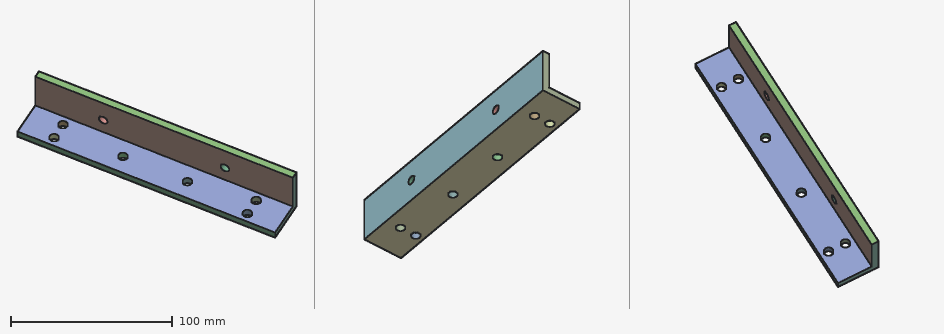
import cadquery as cq

length = 180.0
height = 32.39
depth = 29.0
thickness = 5.0
hole_diameter = 6.0
wall_hole_spacing = 85.0
wall_hole_drop = 16.0

flange_width = depth - thickness
flange_row_offset = flange_width / 4

flange_hole_pitch = length / 4
inner_hole_x = flange_hole_pitch / 2
outer_hole_x = inner_hole_x + flange_hole_pitch


def make_angle():
    """L-shaped bar centred on X, front edge at Y = 0 and underside at Z = 0."""
    flange = cq.Workplane("XY").box(length, depth, thickness, centered=(True, False, False))
    wall = (
        cq.Workplane("XY")
        .box(length, thickness, height, centered=(True, False, False))
        .translate((0, flange_width, 0))
    )
    return flange.union(wall)


def make_flange_holes():
    """Vertical drills: one pair on the flange midline and a pair across it near each end."""
    middle_y = flange_width / 2
    points = []
    for side in (-1, 1):
        points.append((side * inner_hole_x, middle_y))
        for row in (-1, 1):
            points.append((side * outer_hole_x, middle_y + row * flange_row_offset))
    return cq.Workplane("XY").pushPoints(points).circle(hole_diameter / 2).extrude(thickness)


def make_wall_holes():
    """Horizontal drills through the wall, set down from its top edge."""
    points = [(side * wall_hole_spacing / 2, height - wall_hole_drop) for side in (-1, 1)]
    return (
        cq.Workplane("XZ", origin=(0, depth, 0))
        .pushPoints(points)
        .circle(hole_diameter / 2)
        .extrude(thickness)
    )


result = make_angle().cut(make_flange_holes()).cut(make_wall_holes())